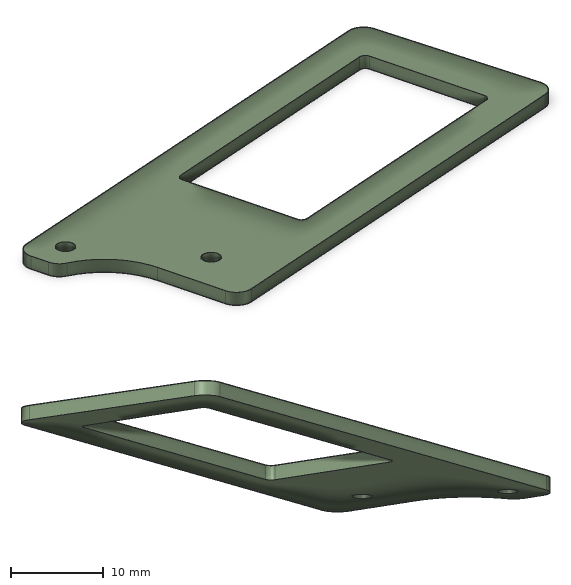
import cadquery as cq
import math

width = 25.65
length = 64.15
thickness = 1.6
corner_radius = 2.0
top_slope = math.radians(1.6)

ledge_height = 5.9
arc_radius = 9.9
arc_start_x = 14.6

window_left = 4.4
window_bottom = 23.6
window_width = 16.8
window_length = 34.6
window_radius = 0.8

hole_diameter = 2.2
hole_centers = [(3.8, 3.9), (17.95, 11.15)]


def plate():
    top_right = length - corner_radius * (1 - math.tan(top_slope) - 1 / math.cos(top_slope))
    top_left = top_right - width * math.tan(top_slope)

    arc_center_y = ledge_height - arc_radius
    end_angle = math.asin(-arc_center_y / arc_radius)
    middle_angle = (math.pi / 2 + end_angle) / 2

    def arc_point(angle):
        x = arc_start_x - arc_radius * math.cos(angle)
        y = arc_center_y + arc_radius * math.sin(angle)
        return (x, y)

    sharp = (
        cq.Workplane("XY")
        .lineTo(0, top_left)
        .lineTo(width, top_right)
        .lineTo(width, ledge_height)
        .lineTo(arc_start_x, ledge_height)
        .threePointArc(arc_point(middle_angle), arc_point(end_angle))
        .close()
        .extrude(thickness)
    )
    return sharp.edges("|Z and (<X or >X or <Y)").fillet(corner_radius)


def window():
    center_x = window_left + window_width / 2
    center_y = window_bottom + window_length / 2
    return (
        cq.Workplane("XY")
        .center(center_x, center_y)
        .rect(window_width, window_length)
        .extrude(thickness)
        .edges("|Z")
        .fillet(window_radius)
    )


def holes():
    return (
        cq.Workplane("XY")
        .pushPoints(hole_centers)
        .circle(hole_diameter / 2)
        .extrude(thickness)
    )


result = plate().cut(window()).cut(holes())